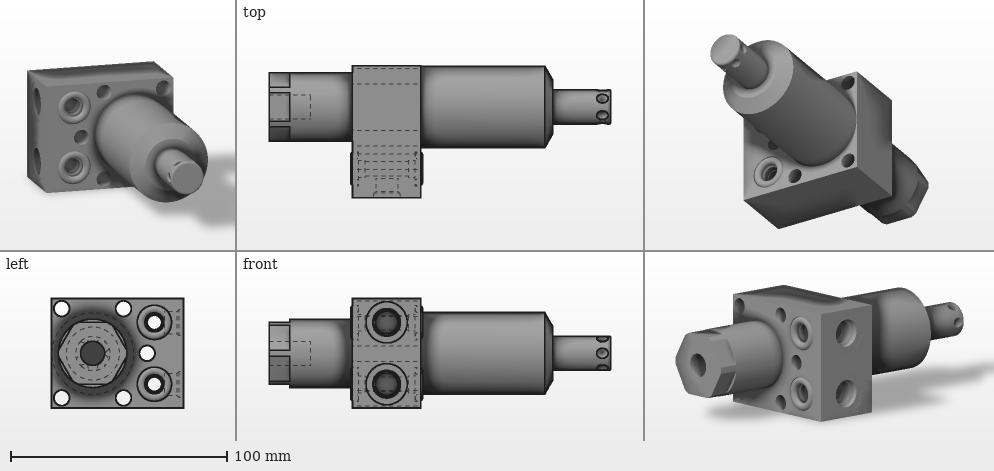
import cadquery as cq
import math


block_length = 31.75
block_width = 61.11
block_height = 50.8
block_back = 19.05
block_front = block_back - block_width

cap_diameter = 31.7
cap_length = 38.45
flats_length = 9.525
across_flats = 28.8
cap_bore_diameter = 11.1
cap_bore_depth = 19.05
flat_count = 6

barrel_diameter = 37.8
barrel_length = 57.15
shoulder_length = 3.81
shoulder_end_diameter = 24.6

overall_length = 157.99
rod_diameter = 15.875
rod_end = overall_length - cap_length
rod_round = 1.0
dimple_count = 6
dimple_diameter = 5.3
dimple_point_angle = 90
dimple_inset = 3.9

bolt_hole_diameter = 7.14
bolt_y = 14.29
bolt_z = 20.64
center_hole_y = -25.2
bolt_points = [(y, z) for y in (-bolt_y, bolt_y) for z in (-bolt_z, bolt_z)] + [(center_hole_y, 0)]

passage_y = -28.57
passage_z = 14.29
passage_diameter = 6.7
mouth_diameter = 7.7
mouth_length = 3.0
ring_outer_diameter = 15.88
ring_section = 3.53
ring_protrusion = 0.75
groove_depth = ring_section - ring_protrusion
passage_points = [(passage_y, -passage_z), (passage_y, passage_z)]

port_x = block_length / 2
port_depth = 9.0
port_bore_diameter = 10.3
seat_mouth_diameter = 12.8
seat_depth = 2.2
seat_half_angle = 12
seat_end_diameter = seat_mouth_diameter - 2 * seat_depth * math.tan(math.radians(seat_half_angle))
bevel_depth = (seat_end_diameter - port_bore_diameter) / 2
spotface_diameter = 19.05
spotface_depth = 0.1


def x_cylinder(diameter, x_start, x_end, points=((0, 0),)):
    """Cylinders along X between two X positions, centred at (y, z) points."""
    return (
        cq.Workplane("YZ", origin=(x_start, 0, 0))
        .pushPoints(list(points))
        .circle(diameter / 2)
        .extrude(x_end - x_start)
    )


def make_cap():
    cap = x_cylinder(cap_diameter, -cap_length, 0)
    flats_end = -cap_length + flats_length
    hexagon_corners = across_flats / math.cos(math.pi / flat_count)
    trim = x_cylinder(2 * cap_diameter, -cap_length, flats_end).cut(
        cq.Workplane("YZ", origin=(-cap_length, 0, 0))
        .polygon(flat_count, hexagon_corners)
        .extrude(flats_length)
    )
    bore = x_cylinder(cap_bore_diameter, -cap_length, -cap_length + cap_bore_depth)
    return cap.cut(trim).cut(bore)


def make_barrel():
    shoulder_start = block_length + barrel_length
    return (
        cq.Workplane("XY")
        .moveTo(block_length, 0)
        .lineTo(block_length, barrel_diameter / 2)
        .lineTo(shoulder_start, barrel_diameter / 2)
        .lineTo(shoulder_start + shoulder_length, shoulder_end_diameter / 2)
        .lineTo(shoulder_start + shoulder_length, 0)
        .close()
        .revolve(360, (0, 0, 0), (1, 0, 0))
    )


def make_rod():
    rod = x_cylinder(rod_diameter, block_length + barrel_length, rod_end)
    rod = rod.faces(">X").edges().fillet(rod_round)
    dimple_radius = dimple_diameter / 2
    slope = math.tan(math.radians(dimple_point_angle / 2))
    depth = dimple_radius / slope
    margin = 1.0
    cone = cq.Solid.makeCone(
        dimple_radius + margin * slope,
        0,
        depth + margin,
        cq.Vector(rod_end - dimple_inset, -rod_diameter / 2 - margin, 0),
        cq.Vector(0, 1, 0),
    )
    for i in range(dimple_count):
        angle = i * 360 / dimple_count
        rod = rod.cut(cq.Workplane(cone.rotate(cq.Vector(0, 0, 0), cq.Vector(1, 0, 0), angle)))
    return rod


def make_port(z):
    """Cutter for one side port: spotface, tapered seal seat, 45 degree bevel and bore."""
    seat_end = spotface_depth + seat_depth
    return (
        cq.Workplane("XY")
        .moveTo(0, 0)
        .lineTo(spotface_diameter / 2, 0)
        .lineTo(spotface_diameter / 2, spotface_depth)
        .lineTo(seat_mouth_diameter / 2, spotface_depth)
        .lineTo(seat_end_diameter / 2, seat_end)
        .lineTo(port_bore_diameter / 2, seat_end + bevel_depth)
        .lineTo(port_bore_diameter / 2, port_depth)
        .lineTo(0, port_depth)
        .close()
        .revolve(360, (0, 0, 0), (0, 1, 0))
        .translate((port_x, block_front, z))
    )


def make_body():
    block = cq.Workplane("XY").box(block_length, block_width, block_height, centered=(False, False, True))
    block = block.translate((0, block_front, 0))
    block = block.cut(x_cylinder(bolt_hole_diameter, 0, block_length, bolt_points))
    block = block.cut(x_cylinder(passage_diameter, 0, block_length, passage_points))
    mouth_end = groove_depth + mouth_length
    for diameter, depth in ((ring_outer_diameter, groove_depth), (mouth_diameter, mouth_end)):
        block = block.cut(x_cylinder(diameter, 0, depth, passage_points))
        block = block.cut(x_cylinder(diameter, block_length - depth, block_length, passage_points))
    for z in (-passage_z, passage_z):
        block = block.cut(make_port(z))
    return block.union(make_cap()).union(make_barrel()).union(make_rod())


def make_seal_ring(x, y, z):
    section_radius = ring_section / 2
    return cq.Solid.makeTorus(
        ring_outer_diameter / 2 - section_radius,
        section_radius,
        cq.Vector(x, y, z),
        cq.Vector(1, 0, 0),
    )


body = make_body()

ring_inset = groove_depth - ring_section / 2
seal_rings = [
    make_seal_ring(x, y, z)
    for x in (ring_inset, block_length - ring_inset)
    for y, z in passage_points
]

result = cq.Compound.makeCompound([body.val(), *seal_rings])